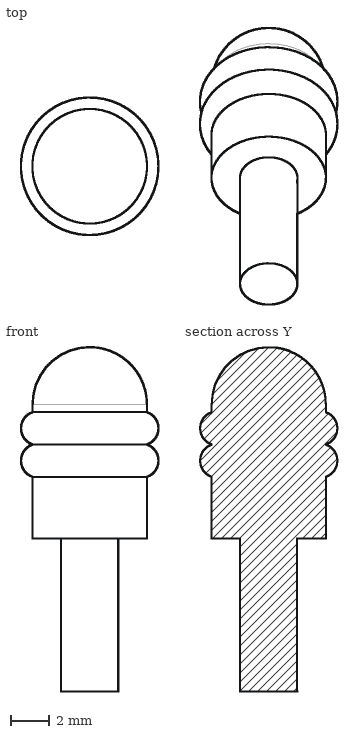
import cadquery as cq
import math

total_height = 18.0
body_diameter = 6.0
stem_diameter = 3.0
stem_length = 8.0
ring_outer_diameter = 7.2
ring_height = 1.7
ring_stack_base = 11.21
ring_count = 2

body_radius = body_diameter / 2
stem_radius = stem_diameter / 2
ring_outer_radius = ring_outer_diameter / 2
dome_base = total_height - body_radius
dome_mid_offset = body_radius * math.sqrt(0.5)

profile = (
    cq.Workplane("XZ")
    .lineTo(stem_radius, 0)
    .lineTo(stem_radius, stem_length)
    .lineTo(body_radius, stem_length)
    .lineTo(body_radius, ring_stack_base)
)

for index in range(ring_count):
    ring_base = ring_stack_base + index * ring_height
    profile = profile.threePointArc(
        (ring_outer_radius, ring_base + ring_height / 2),
        (body_radius, ring_base + ring_height),
    )

profile = (
    profile.lineTo(body_radius, dome_base)
    .threePointArc((dome_mid_offset, dome_base + dome_mid_offset), (0, total_height))
    .close()
)

result = profile.revolve(360, (0, 0), (0, 1))